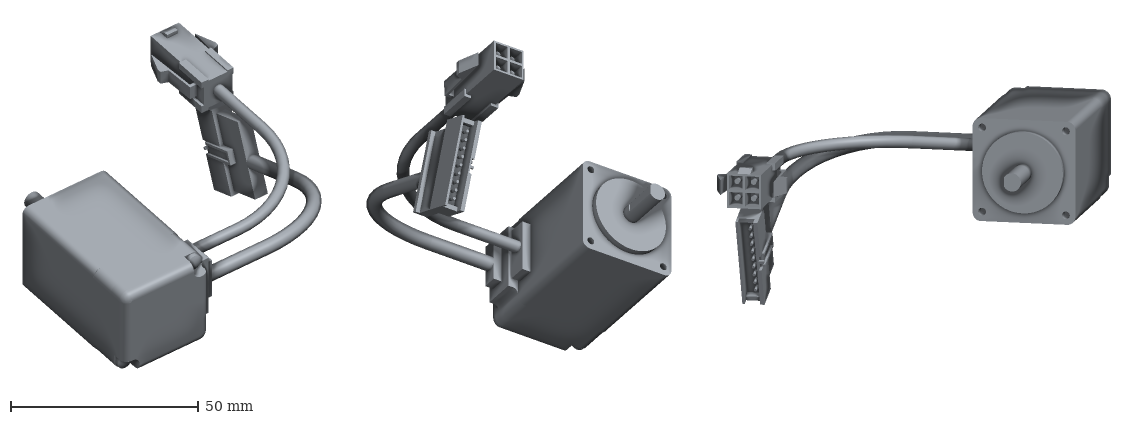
import cadquery as cq
import math


FRAME = 28.1
MOTOR_LENGTH = 32.2
MOTOR_CORNER_RADIUS = 2.2
PILOT_DIAMETER = 22.1
PILOT_HEIGHT = 1.9
SHAFT_DIAMETER = 5.0
SHAFT_REACH = 15.0
FLAT_LENGTH = 10.2
FLAT_DEPTH = 0.4
SCREW_OFFSET = 11.5
MOUNT_HOLE_DIAMETER = 2.1
MOUNT_HOLE_DEPTH = 3.7

HOUSING_END = 40.0
REAR_END = 46.2
REAR_CORNER_RADIUS = 2.7
REAR_EDGE_RADIUS = 2.3
BOSS_END = 41.7
BOSS_WIDTH = 19.2
BOSS_HEIGHT = 3.0
BOSS_FILLET = 1.6
SCREW_POCKET_RADIUS = 2.5

INSERT_SIZE = 4.5
INSERT_LENGTH = 2.5

HEAD_RADIUS = 2.3
HEAD_RIM = 1.2
HEAD_DOME = 0.7
DIAGONAL = (1, -1)

BEND_RADIUS = 30.0
MOTOR_CABLE_X = 28.3
MOTOR_CABLE_Z = 0.7
MOTOR_CABLE_DIAMETER = 3.4
MOTOR_CABLE_BEND_Y = 36.5
MOTOR_CABLE_TAIL = 19.7
ENCODER_CABLE_X = 37.7
ENCODER_CABLE_Z = -0.4
ENCODER_CABLE_DIAMETER = 4.1
ENCODER_CABLE_BEND_Y = 39.1
ENCODER_CABLE_TAIL = 19.9
ENCODER_TILT = 20

MOTOR_OUTLET_X = 28.5
MOTOR_OUTLET_SIZE = (5.3, 15.3)
MOTOR_OUTLET_HEIGHT = 2.7
ENCODER_OUTLET_SIZE = (4.2, 12.6)
ENCODER_OUTLET_HEIGHT = 2.5

PLUG_SIZE = 9.4
PLUG_LENGTH = 24.1
GUARD_SIZE = 10.65
GUARD_SHIFT = 0.2
GUARD_LENGTH = 10.3
GUARD_GAP = 6.2
CELL_SIZE = 3.8
CELL_PITCH = 4.5
CELL_DEPTH = 7.3
CONTACT_DIAMETER = 1.5
CONTACT_LENGTH = 5.5
WING_WIDTH = 4.1
WING_STEM_REAR = 3.2
WING_STEM_FRONT = 4.2
WING_INNER = 6.3
WING_OUTER = 7.0
BARB_HEEL = 12.3
BARB_HEEL_OFFSET = 7.4
BARB_REAR = 13.0
BARB_FRONT = 14.3
BARB_OFFSET = 9.5
WING_TIP = 20.5
WING_TIP_OFFSET = 7.25
KEY_WIDTH = 3.5
KEY_HEIGHT = 1.2
KEY_START = 0.2
KEY_CREST = 2.4
KEY_END = 3.5

SHROUD_LENGTH = 8.3
SHROUD_WIDTH = 25.6
SHROUD_Y = (66.0, 72.05)
BLOCK_LENGTH = 10.3
BLOCK_WIDTH = 23.1
BLOCK_Y = (67.2, 70.1)
FLANGE_LENGTH = 1.4
CAVITY_Y = (67.2, 71.4)
CAVITY_DEPTH = 4.1
CONNECTOR_SHIFT = 1.1
END_WALL_SETBACK = 1.9
PIN_COUNT = 9
PIN_PITCH = 2.4
PIN_DIAMETER = 0.8
PIN_LENGTH = 2.2
PIN_Y = 68.65
LATCH_WIDTH = 4.2
LATCH_LENGTH = 12.8
LATCH_Y = 65.35
LATCH_SLOT_LENGTH = 2.0
LATCH_SLOT_DEPTH = 0.7
RAIL_THICKNESS = 0.7
LATCH_NUB = 0.7

HALF = FRAME / 2
BOSS_TOP = HALF + BOSS_HEIGHT
MOTOR_OUTLET_TOP = HALF + MOTOR_OUTLET_HEIGHT
ENCODER_OUTLET_TOP = BOSS_TOP + ENCODER_OUTLET_HEIGHT
PLUG_REAR = MOTOR_CABLE_X - BEND_RADIUS - MOTOR_CABLE_TAIL
PLUG_FRONT = PLUG_REAR - PLUG_LENGTH
PLUG_Y = MOTOR_CABLE_BEND_Y + BEND_RADIUS
BLOCK_REAR = ENCODER_CABLE_X - BEND_RADIUS - ENCODER_CABLE_TAIL
SHROUD_REAR = BLOCK_REAR - BLOCK_LENGTH
SHROUD_FRONT = SHROUD_REAR - SHROUD_LENGTH
CONNECTOR_Z = ENCODER_CABLE_Z + CONNECTOR_SHIFT


def block(x_range, y_range, z_range):
    """Box between two limits on each axis."""
    limits = (x_range, y_range, z_range)
    sizes = [high - low for low, high in limits]
    corner = cq.Vector(*[low for low, high in limits])
    return cq.Workplane("XY").box(*sizes, centered=False).translate(corner)


def around(centre, size):
    """Limits of a length centred on a place."""
    return (centre - size / 2, centre + size / 2)


def rod(x_start, length, diameter, y=0, z=0):
    """Cylinder along +X."""
    return cq.Workplane("YZ", origin=(x_start, y, z)).circle(diameter / 2).extrude(length)


def frame_prism(x_start, x_end, corner_radius):
    """Square frame section with rounded corners."""
    prism = block((x_start, x_end), around(0, FRAME), around(0, FRAME))
    return prism.edges("|X").fillet(corner_radius)


def insert_space(side):
    """Square corner at the rear of the motor that a corner insert fills."""
    limits = around(side * (HALF - INSERT_SIZE / 2), INSERT_SIZE)
    return block((MOTOR_LENGTH - INSERT_LENGTH, MOTOR_LENGTH), limits, limits)


def make_corner_insert(side):
    """Corner block let in flush with the sides of the motor."""
    return frame_prism(0, MOTOR_LENGTH, MOTOR_CORNER_RADIUS).intersect(insert_space(side))


def make_motor():
    motor = frame_prism(0, MOTOR_LENGTH, MOTOR_CORNER_RADIUS)
    for side in DIAGONAL:
        motor = motor.cut(insert_space(side))
    for y_side in (1, -1):
        for z_side in (1, -1):
            hole = rod(0, MOUNT_HOLE_DEPTH, MOUNT_HOLE_DIAMETER, y_side * SCREW_OFFSET, z_side * SCREW_OFFSET)
            motor = motor.cut(hole)
    motor = motor.union(rod(-PILOT_HEIGHT, PILOT_HEIGHT, PILOT_DIAMETER))
    shaft = rod(-SHAFT_REACH, SHAFT_REACH, SHAFT_DIAMETER)
    flat_y = SHAFT_DIAMETER / 2 - FLAT_DEPTH
    flat = block(
        (-SHAFT_REACH, FLAT_LENGTH - SHAFT_REACH), (flat_y, SHAFT_DIAMETER), around(0, SHAFT_DIAMETER)
    )
    motor = motor.union(shaft.cut(flat))
    outlet_width, outlet_height = MOTOR_OUTLET_SIZE
    outlet = block(
        around(MOTOR_OUTLET_X, outlet_width), (HALF, MOTOR_OUTLET_TOP), around(0, outlet_height)
    )
    return motor.union(outlet)


def boss_section():
    """Boss outline in Y and Z, with concave fillets where it meets the frame."""
    half = BOSS_WIDTH / 2
    bend = BOSS_FILLET * (1 - math.sqrt(0.5))
    return (
        cq.Workplane("YZ", origin=(MOTOR_LENGTH, 0, 0))
        .moveTo(0, half + BOSS_FILLET)
        .lineTo(HALF, half + BOSS_FILLET)
        .threePointArc((HALF + bend, half + bend), (HALF + BOSS_FILLET, half))
        .lineTo(BOSS_TOP, half)
        .lineTo(BOSS_TOP, -half)
        .lineTo(HALF + BOSS_FILLET, -half)
        .threePointArc((HALF + bend, -half - bend), (HALF, -half - BOSS_FILLET))
        .lineTo(0, -half - BOSS_FILLET)
        .close()
    )


def boss_rear_fillet():
    """Concave fillet between the rear end of the boss and the frame."""
    bend = BOSS_FILLET * (1 - math.sqrt(0.5))
    return (
        cq.Workplane("XY", origin=(0, 0, -BOSS_WIDTH / 2))
        .moveTo(BOSS_END, HALF)
        .lineTo(BOSS_END, HALF + BOSS_FILLET)
        .threePointArc((BOSS_END + bend, HALF + bend), (BOSS_END + BOSS_FILLET, HALF))
        .close()
        .extrude(BOSS_WIDTH)
    )


def make_encoder_housing():
    housing = frame_prism(MOTOR_LENGTH, HOUSING_END, REAR_CORNER_RADIUS)
    housing = housing.union(boss_section().extrude(HOUSING_END - MOTOR_LENGTH))
    outlet_width, outlet_height = ENCODER_OUTLET_SIZE
    outlet = block(
        around(ENCODER_CABLE_X, outlet_width), (BOSS_TOP, ENCODER_OUTLET_TOP), around(0, outlet_height)
    )
    return housing.union(outlet)


def screw_pocket(side):
    """Corner recess with a round inner corner around the screw axis."""
    x_range = (BOSS_END, REAR_END)
    inner = SCREW_OFFSET - SCREW_POCKET_RADIUS
    limits = sorted((side * inner, side * BOSS_TOP))
    pocket = block(x_range, limits, limits)
    inner_corner = "<Y and <Z" if side > 0 else ">Y and >Z"
    return pocket.edges("|X").edges(inner_corner).fillet(SCREW_POCKET_RADIUS)


def screw_head(side):
    """Domed screw head resting on the floor of its corner recess."""
    dome_radius = (HEAD_RADIUS**2 + HEAD_DOME**2) / (2 * HEAD_DOME)
    tip = HEAD_RIM + HEAD_DOME
    head = (
        cq.Workplane("XY")
        .lineTo(0, HEAD_RADIUS)
        .lineTo(HEAD_RIM, HEAD_RADIUS)
        .radiusArc((tip, 0), dome_radius)
        .close()
        .revolve(360, (0, 0, 0), (1, 0, 0))
    )
    return head.translate((BOSS_END, side * SCREW_OFFSET, side * SCREW_OFFSET))


def make_end_cover():
    cover = frame_prism(HOUSING_END, REAR_END, REAR_CORNER_RADIUS)
    cover = cover.faces(">X").edges().fillet(REAR_EDGE_RADIUS)
    boss = boss_section().extrude(BOSS_END - MOTOR_LENGTH)
    boss = boss.intersect(block((HOUSING_END, BOSS_END), (0, BOSS_TOP), around(0, FRAME)))
    cover = cover.union(boss).union(boss_rear_fillet())
    for side in DIAGONAL:
        cover = cover.cut(screw_pocket(side)).union(screw_head(side))
    return cover


def make_cable(x, z, start_y, bend_y, tail, diameter):
    """Cable that leaves along +Y, bends a quarter turn and runs on along -X."""
    bend_end_x = x - BEND_RADIUS
    bend_end_y = bend_y + BEND_RADIUS
    path = (
        cq.Workplane("XY", origin=(0, 0, z))
        .moveTo(x, start_y)
        .lineTo(x, bend_y)
        .radiusArc((bend_end_x, bend_end_y), -BEND_RADIUS)
        .lineTo(bend_end_x - tail, bend_end_y)
    )
    return cq.Workplane("XZ", origin=(x, start_y, z)).circle(diameter / 2).sweep(path)


def wing_latch():
    """Side arm with a barb at its front end."""
    root = PLUG_SIZE / 2
    outline = [
        (-WING_STEM_FRONT, root),
        (-WING_STEM_FRONT, WING_INNER),
        (-WING_TIP, WING_TIP_OFFSET),
        (-BARB_FRONT, BARB_OFFSET),
        (-BARB_REAR, BARB_OFFSET),
        (-BARB_HEEL, BARB_HEEL_OFFSET),
        (-WING_STEM_REAR, WING_OUTER),
        (-WING_STEM_REAR, root),
    ]
    base = cq.Workplane("XY", origin=(PLUG_REAR, PLUG_Y, MOTOR_CABLE_Z - WING_WIDTH / 2))
    return base.polyline(outline).close().extrude(WING_WIDTH)


def polarising_key():
    """Small ramp on top of the connector mouth."""
    top = MOTOR_CABLE_Z + PLUG_SIZE / 2
    outline = [
        (PLUG_FRONT + KEY_START, top),
        (PLUG_FRONT + KEY_CREST, top + KEY_HEIGHT),
        (PLUG_FRONT + KEY_END, top + KEY_HEIGHT),
        (PLUG_FRONT + KEY_END, top),
    ]
    base = cq.Workplane("XZ", origin=(0, PLUG_Y + KEY_WIDTH / 2, 0))
    return base.polyline(outline).close().extrude(KEY_WIDTH)


def corner_guards():
    """Four raised corners around the rear of the connector."""
    x_range = (PLUG_REAR - GUARD_LENGTH, PLUG_REAR)
    guard_y = around(PLUG_Y - GUARD_SHIFT, GUARD_SIZE)
    guard_z = around(MOTOR_CABLE_Z - GUARD_SHIFT, GUARD_SIZE)
    guards = block(x_range, guard_y, guard_z)
    guards = guards.cut(block(x_range, guard_y, around(MOTOR_CABLE_Z, GUARD_GAP)))
    return guards.cut(block(x_range, around(PLUG_Y, GUARD_GAP), guard_z))


def make_motor_connector():
    connector = block(
        (PLUG_FRONT, PLUG_REAR), around(PLUG_Y, PLUG_SIZE), around(MOTOR_CABLE_Z, PLUG_SIZE)
    )
    connector = connector.union(corner_guards()).union(polarising_key())
    wing = wing_latch()
    connector = connector.union(wing).union(wing.mirror("XZ", (0, PLUG_Y, 0)))
    cell_floor = PLUG_FRONT + CELL_DEPTH
    for y_side in (1, -1):
        for z_side in (1, -1):
            y = PLUG_Y + y_side * CELL_PITCH / 2
            z = MOTOR_CABLE_Z + z_side * CELL_PITCH / 2
            cell = block((PLUG_FRONT, cell_floor), around(y, CELL_SIZE), around(z, CELL_SIZE))
            contact = rod(cell_floor - CONTACT_LENGTH, CONTACT_LENGTH, CONTACT_DIAMETER, y, z)
            connector = connector.cut(cell).union(contact)
    return connector


def latch_rail():
    """U-shaped rail that frames the latch on the -Y side."""
    y_range = (LATCH_Y, BLOCK_Y[0])
    front = SHROUD_FRONT + LATCH_SLOT_LENGTH
    rear = SHROUD_FRONT + LATCH_LENGTH
    rail = block((front, rear), y_range, around(CONNECTOR_Z, LATCH_WIDTH))
    opening = block(
        (front, rear - RAIL_THICKNESS),
        (LATCH_Y, SHROUD_Y[0]),
        around(CONNECTOR_Z, LATCH_WIDTH - 2 * RAIL_THICKNESS),
    )
    return rail.cut(opening)


def make_encoder_connector():
    """Flat connector, built level with the cable before the lead is tilted."""
    shroud_z = around(CONNECTOR_Z, SHROUD_WIDTH)
    block_z = around(CONNECTOR_Z, BLOCK_WIDTH)
    connector = block((SHROUD_FRONT, SHROUD_REAR), SHROUD_Y, shroud_z)
    connector = connector.union(block((SHROUD_REAR, BLOCK_REAR), BLOCK_Y, block_z))
    connector = connector.union(block((BLOCK_REAR - FLANGE_LENGTH, BLOCK_REAR), CAVITY_Y, block_z))

    cavity_floor = SHROUD_FRONT + CAVITY_DEPTH
    connector = connector.cut(block((SHROUD_FRONT, cavity_floor), CAVITY_Y, block_z))
    connector = connector.cut(block((SHROUD_FRONT, SHROUD_FRONT + END_WALL_SETBACK), CAVITY_Y, shroud_z))
    for index in range(PIN_COUNT):
        pin_z = CONNECTOR_Z + (index - (PIN_COUNT - 1) / 2) * PIN_PITCH
        connector = connector.union(rod(cavity_floor - PIN_LENGTH, PIN_LENGTH, PIN_DIAMETER, PIN_Y, pin_z))

    slot_floor = SHROUD_Y[0] + LATCH_SLOT_DEPTH
    slot_x = (SHROUD_FRONT, SHROUD_FRONT + LATCH_SLOT_LENGTH)
    connector = connector.cut(block(slot_x, (SHROUD_Y[0], slot_floor), around(CONNECTOR_Z, LATCH_WIDTH)))
    nub = block(
        around(sum(slot_x) / 2, LATCH_NUB), (LATCH_Y, slot_floor), around(CONNECTOR_Z, LATCH_NUB)
    )
    return connector.union(latch_rail()).union(nub)


def tilt_encoder_lead(body):
    """Swing a part of the encoder lead down about the cable where it leaves the housing."""
    pivot = (ENCODER_CABLE_X, 0, ENCODER_CABLE_Z)
    along_y = (ENCODER_CABLE_X, 1, ENCODER_CABLE_Z)
    return body.rotate(pivot, along_y, -ENCODER_TILT)


motor = make_motor()
encoder_housing = make_encoder_housing()
end_cover = make_end_cover()
corner_inserts = [make_corner_insert(side) for side in DIAGONAL]
motor_cable = make_cable(
    MOTOR_CABLE_X, MOTOR_CABLE_Z, MOTOR_OUTLET_TOP, MOTOR_CABLE_BEND_Y, MOTOR_CABLE_TAIL, MOTOR_CABLE_DIAMETER
)
motor_connector = make_motor_connector()
encoder_cable = tilt_encoder_lead(
    make_cable(
        ENCODER_CABLE_X,
        ENCODER_CABLE_Z,
        ENCODER_OUTLET_TOP,
        ENCODER_CABLE_BEND_Y,
        ENCODER_CABLE_TAIL,
        ENCODER_CABLE_DIAMETER,
    )
)
encoder_connector = tilt_encoder_lead(make_encoder_connector())

result = cq.Compound.makeCompound([
    motor.val(),
    encoder_housing.val(),
    end_cover.val(),
    *[insert.val() for insert in corner_inserts],
    motor_cable.val(),
    motor_connector.val(),
    encoder_cable.val(),
    encoder_connector.val(),
])